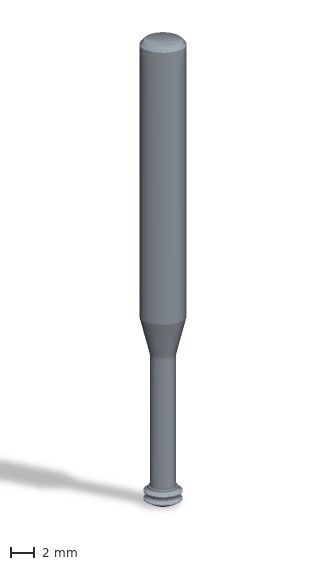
import cadquery as cq
import math

total_length = 42.0
shank_radius = 4.0 / 2
end_chamfer_width = 0.38
end_chamfer_height = 0.4

neck_radius = 2.23 / 2
cone_top = 16.9
cone_half_angle = math.radians(14.5)
cone_blend_radius = 1.0
cone_bottom = cone_top - (shank_radius - neck_radius) / math.tan(cone_half_angle)

tooth_count = 2
tooth_pitch = 0.7
tip_radius = 3.3 / 2
root_radius = 2.5 / 2
tip_half_width = 0.05
flank_angle = math.radians(30)
collar_top = 1.5
tooth_half_width = tip_half_width + (tip_radius - root_radius) * math.tan(flank_angle)
first_tooth_height = tip_half_width + (tip_radius - neck_radius) * math.tan(flank_angle)


def head_outline():
    """Points (radius, height) from the bottom face up to the neck."""
    points = [(0, 0), (neck_radius, 0)]
    for index in range(tooth_count):
        centre = first_tooth_height + index * tooth_pitch
        if index > 0:
            points.append((root_radius, centre - tooth_half_width))
        points.append((tip_radius, centre - tip_half_width))
        points.append((tip_radius, centre + tip_half_width))
        points.append((root_radius, centre + tooth_half_width))
    points.append((root_radius, collar_top))
    points.append((neck_radius, collar_top))
    return points


def cone_blend():
    """Start, middle and end of the arc tangent to both the neck and the cone."""
    centre_radius = neck_radius + cone_blend_radius
    centre_height = cone_bottom - cone_blend_radius * math.tan(cone_half_angle / 2)
    return [
        (
            centre_radius - cone_blend_radius * math.cos(angle),
            centre_height + cone_blend_radius * math.sin(angle),
        )
        for angle in (0, cone_half_angle / 2, cone_half_angle)
    ]


blend_start, blend_middle, blend_end = cone_blend()

profile = (
    cq.Workplane("XZ")
    .polyline(head_outline())
    .lineTo(*blend_start)
    .threePointArc(blend_middle, blend_end)
    .lineTo(shank_radius, cone_top)
    .lineTo(shank_radius, total_length - end_chamfer_height)
    .lineTo(shank_radius - end_chamfer_width, total_length)
    .lineTo(0, total_length)
    .close()
)
result = profile.revolve(360, (0, 0, 0), (0, 1, 0))